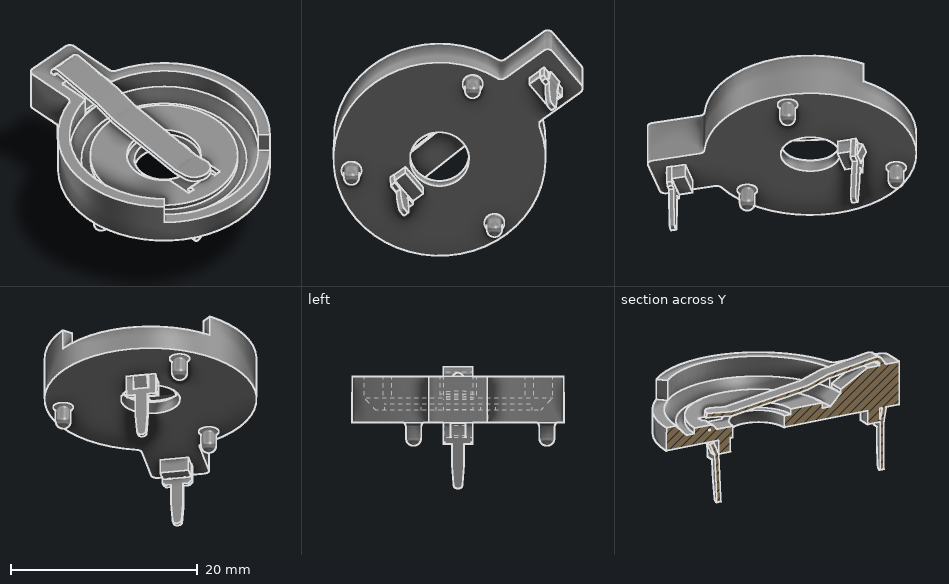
import cadquery as cq
import math


tray_radius = 11.36
tray_height = 4.95
cavity_radius = 10.1
tab_end_x = -17.34
tab_half_width = 3.15
tab_corner_radius = 0.65
floor_thickness = 1.37
cone_bottom_radius = 8.85
low_wall_height = 2.67
low_wall_half_angle = 45.0
centre_hole_radius = 3.16

relief_start_x = -13.41
relief_end_x = -10.12
relief_end_z = 3.1
relief_half_width = 1.97

pin_circle_radius = 9.52
pin_radius = 0.83
pin_length = 2.5
pin_flare_width = 0.25
pin_flare_height = 0.5
pin_angles = (30.0, 150.0, 270.0)

sheet = 0.55
strip_half_width = 1.6

leg_bottom_z = -7.07
shoulder_z = -2.3
shoulder_chamfer = 0.33
leg_half_width = 0.66
taper_start_z = -4.57
taper_end_half_width = 0.46
tip_corner_radius = 0.42

block_depth = 1.57
block_half_width = 1.55
clip_block_inner_x = -13.43
disc_block_inner_x = 3.42
window_half_width = 0.84
barb_half_width = 0.75

clip_leg_x = -15.48
clip_bend_radius = 1.06
clip_top_z = 6.0
clip_bends = ((-8.57, 5.1), (-6.08, 4.3), (3.24, 3.03), (6.34, 3.4))
clip_barb_reach = 0.27
clip_barb_top_z = -0.06
dimple_radius = 1.1
dimple_height = 0.3
dimple_z = 4.5

disc_radius = 7.9
disc_top_z = 2.0
disc_hole_radius = 3.97
disc_notch_end_x = 6.08
disc_notch_half_width = 2.38
tongue_radius = 1.0
disc_leg_outer_x = 5.48
disc_leg_tilt = 2.8
disc_barb_reach = 0.53
disc_barb_top_z = -0.25


def cylinder(radius, bottom_z, top_z):
    return cq.Workplane("XY").workplane(offset=bottom_z).circle(radius).extrude(top_z - bottom_z)


def box(x0, x1, half_width, z0, z1):
    """Box between two X and two Z values, centred on y = 0."""
    return (
        cq.Workplane("XY")
        .box(x1 - x0, 2 * half_width, z1 - z0, centered=False)
        .translate((x0, -half_width, z0))
    )


def across_y(profile, half_width):
    """Extrude a closed XZ profile to both sides of y = 0."""
    return profile.extrude(half_width, both=True)


def housing():
    tab = box(tab_end_x, 0, tab_half_width, 0, tray_height)
    tab = tab.edges("|Z and <X").fillet(tab_corner_radius)
    body = cylinder(tray_radius, 0, tray_height).union(tab)

    join_x = -math.sqrt(tray_radius**2 - tab_half_width**2)
    for side in (-1, 1):
        corner = cq.selectors.NearestToPointSelector((join_x, side * tab_half_width, tray_height / 2))
        body = body.edges("|Z").edges(corner).fillet(tab_corner_radius)

    cavity = (
        cq.Workplane("XZ")
        .moveTo(0, floor_thickness)
        .lineTo(cone_bottom_radius, floor_thickness)
        .lineTo(cavity_radius, low_wall_height)
        .lineTo(cavity_radius, tray_height)
        .lineTo(0, tray_height)
        .close()
        .revolve(360, (0, 0, 0), (0, 1, 0))
    )
    body = body.cut(cavity)
    body = body.cut(cylinder(centre_hole_radius, 0, floor_thickness))
    return body.cut(low_wall_sector()).cut(tab_relief())


def low_wall_sector():
    """Wedge removed above the low part of the wall, open toward +X."""
    reach = 2 * tray_radius
    half_span = reach * math.tan(math.radians(low_wall_half_angle))
    return (
        cq.Workplane("XY")
        .workplane(offset=low_wall_height)
        .polyline([(0, 0), (reach, -half_span), (reach, half_span)])
        .close()
        .extrude(tray_height - low_wall_height)
    )


def tab_relief():
    profile = (
        cq.Workplane("XZ")
        .moveTo(relief_start_x, tray_height)
        .lineTo(relief_end_x, relief_end_z)
        .lineTo(relief_end_x, low_wall_height)
        .lineTo(-cone_bottom_radius, low_wall_height)
        .lineTo(-cone_bottom_radius, tray_height)
        .close()
    )
    return across_y(profile, relief_half_width)


def pin(angle):
    """Round-ended pin with a small flare against the floor."""
    dome_offset = pin_radius * math.sqrt(0.5)
    dome_z = pin_radius - pin_length
    embed_z = floor_thickness / 2
    body = (
        cq.Workplane("XZ")
        .moveTo(0, -pin_length)
        .threePointArc((dome_offset, dome_z - dome_offset), (pin_radius, dome_z))
        .lineTo(pin_radius, -pin_flare_height)
        .tangentArcPoint((pin_radius + pin_flare_width, 0), relative=False)
        .lineTo(pin_radius, 0)
        .lineTo(pin_radius, embed_z)
        .lineTo(0, embed_z)
        .close()
        .revolve(360, (0, 0, 0), (0, 1, 0))
    )
    x = pin_circle_radius * math.cos(math.radians(angle))
    y = pin_circle_radius * math.sin(math.radians(angle))
    return body.translate((x, y, 0))


def leg(top_z, chamfer):
    """Upright leg with its outer face on x = 0 and its thickness toward +X."""
    shoulder = box(0, sheet, strip_half_width, shoulder_z, top_z)
    if chamfer > 0:
        shoulder = shoulder.edges("|X and <Z").chamfer(chamfer)
    blade = (
        cq.Workplane("YZ")
        .polyline([
            (-leg_half_width, shoulder_z),
            (-leg_half_width, taper_start_z),
            (-taper_end_half_width, leg_bottom_z),
            (taper_end_half_width, leg_bottom_z),
            (leg_half_width, taper_start_z),
            (leg_half_width, shoulder_z),
        ])
        .close()
        .extrude(sheet)
        .edges("|X and <Z")
        .fillet(tip_corner_radius)
    )
    window = box(0, sheet, window_half_width, -block_depth, 0)
    return shoulder.union(blade).cut(window)


def barb(reach, top_z):
    """Tongue lifted out of the leg window, leaning toward -X from its lower end."""
    length = math.hypot(reach, top_z + block_depth)
    normal_x = (top_z + block_depth) / length
    normal_z = reach / length
    profile = (
        cq.Workplane("XZ")
        .moveTo(0, -block_depth)
        .lineTo(-reach, top_z)
        .lineTo(-reach + sheet * normal_x, top_z + sheet * normal_z)
        .lineTo(sheet, -block_depth)
        .lineTo(sheet, -block_depth - sheet)
        .lineTo(0, -block_depth - sheet)
        .close()
    )
    return across_y(profile, barb_half_width)


def spring_strip():
    """Clip strip: a bend at the top of the leg, then straight runs to the rounded tip."""
    bend_x = clip_leg_x + clip_bend_radius
    bend_z = clip_top_z - clip_bend_radius
    inner_radius = clip_bend_radius - sheet
    first_x, first_z = clip_bends[0]
    slope = math.atan2(clip_top_z - first_z, first_x - bend_x)

    def on_bend(radius, angle):
        return (bend_x + radius * math.cos(angle), bend_z + radius * math.sin(angle))

    end_angle = math.pi / 2 - slope
    middle_angle = (math.pi + end_angle) / 2
    profile = (
        cq.Workplane("XZ")
        .moveTo(*on_bend(clip_bend_radius, math.pi))
        .threePointArc(on_bend(clip_bend_radius, middle_angle), on_bend(clip_bend_radius, end_angle))
    )
    last_bend_x, last_bend_z = clip_bends[-2]
    tip_x, tip_z = clip_bends[-1]
    overrun_end = (2 * tip_x - last_bend_x, 2 * tip_z - last_bend_z)
    top_points = clip_bends[:-1] + (overrun_end,)
    for x, z in top_points:
        profile = profile.lineTo(x, z)
    for x, z in reversed(top_points):
        profile = profile.lineTo(x, z - sheet)
    profile = (
        profile.lineTo(*on_bend(inner_radius, end_angle))
        .threePointArc(on_bend(inner_radius, middle_angle), on_bend(inner_radius, math.pi))
        .close()
    )
    strip = across_y(profile, strip_half_width)

    return strip.intersect(round_tip_outline())


def round_tip_outline():
    """Strip outline with a half-round tip, standing square to the last, rising run."""
    last_bend_x, last_bend_z = clip_bends[-2]
    tip_x, tip_z = clip_bends[-1]
    tip_rise = math.degrees(math.atan2(tip_z - last_bend_z, tip_x - last_bend_x))
    start_x = 2 * clip_leg_x
    arc_start_x = tip_x - strip_half_width
    return (
        cq.Workplane("XY")
        .workplane(offset=tip_z)
        .moveTo(start_x, -strip_half_width)
        .lineTo(arc_start_x, -strip_half_width)
        .threePointArc((tip_x, 0), (arc_start_x, strip_half_width))
        .lineTo(start_x, strip_half_width)
        .close()
        .extrude(2 * clip_top_z, both=True)
        .rotate((tip_x, 0, tip_z), (tip_x, 1, tip_z), -tip_rise)
    )


def spring_clip():
    upright = leg(clip_top_z - clip_bend_radius, shoulder_chamfer)
    upright = upright.union(barb(clip_barb_reach, clip_barb_top_z)).translate((clip_leg_x, 0, 0))
    dimple_x = clip_leg_x - dimple_height + dimple_radius
    dimple = cq.Workplane("XY").sphere(dimple_radius).translate((dimple_x, 0, dimple_z))
    dimple = dimple.intersect(
        box(clip_leg_x - dimple_height, clip_leg_x + sheet / 2, dimple_radius, 0, clip_top_z)
    )
    return spring_strip().union(upright).union(dimple)


def contact_disc():
    disc = cylinder(disc_radius, floor_thickness, disc_top_z)
    disc = disc.cut(cylinder(disc_hole_radius, floor_thickness, disc_top_z))
    return disc.cut(box(0, disc_notch_end_x, disc_notch_half_width, floor_thickness, disc_top_z))


def disc_tongue():
    """Quarter bend that turns the disc edge down into the leg."""
    centre_z = disc_top_z - tongue_radius
    inner_radius = tongue_radius - sheet
    diagonal = math.sqrt(0.5)
    x = disc_notch_end_x
    profile = (
        cq.Workplane("XZ")
        .moveTo(x, disc_top_z)
        .threePointArc(
            (x - tongue_radius * diagonal, centre_z + tongue_radius * diagonal),
            (x - tongue_radius, centre_z),
        )
        .lineTo(x - inner_radius, centre_z)
        .threePointArc(
            (x - inner_radius * diagonal, centre_z + inner_radius * diagonal),
            (x, centre_z + inner_radius),
        )
        .close()
    )
    return across_y(profile, strip_half_width)


def disc_leg():
    """Leg below the disc, facing +X and leaning back toward the tray axis."""
    upright = leg(floor_thickness / 2, 0).union(barb(disc_barb_reach, disc_barb_top_z))
    upright = upright.mirror("YZ")
    upright = upright.rotate((0, 0, 0), (0, 1, 0), disc_leg_tilt)
    return upright.translate((disc_leg_outer_x, 0, 0))


result = housing()
for pin_angle in pin_angles:
    result = result.union(pin(pin_angle))
disc_block_outer_x = disc_leg_outer_x - sheet
block_spans = ((clip_leg_x + sheet, clip_block_inner_x), (disc_block_inner_x, disc_block_outer_x))
for block_start_x, block_end_x in block_spans:
    result = result.union(box(block_start_x, block_end_x, block_half_width, -block_depth, 0))
for metal in (contact_disc(), disc_tongue(), disc_leg(), spring_clip()):
    result = result.union(metal)